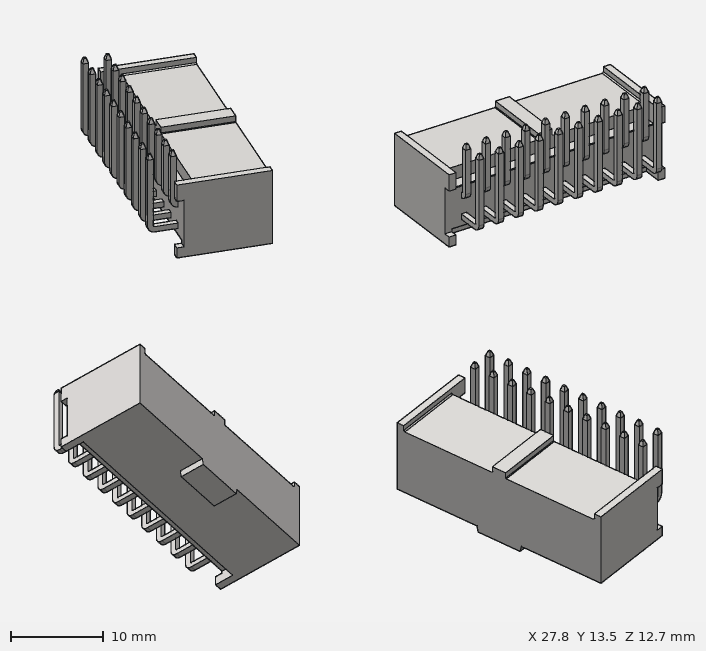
import cadquery as cq

length = 27.75
wall = 0.9
wall_depth = 10.85
wall_top = 8.95
body_depth = 10.01
body_top = 8.18
shelf_start = 8.5
block_bottom = 1.53
block_top = 6.6
block_chamfer = 0.08
foot_top = 1.25
notch_top = 6.94
seam_width = 0.17
seam_height = 0.15
inner_length = length - 2 * wall

rib_width = 1.8
rib_bevel = 0.08
key_depth = 3.02
key_height = 0.75
key_top_width = 6.05
key_bottom_width = 5.71
relief_width = 4.02
relief_size = 0.08

pin_count = 10
row_span = 22.85
pitch = row_span / (pin_count - 1)
pin_size = 0.67
pin_tip_z = 11.9
tip_height = 0.55
tip_size = 0.28
inside_bend = 0.15
outside_bend = inside_bend + pin_size
inner_row = (10.87, 5.08)
outer_row = (13.48, 2.4)
pin_overlap = 0.28


def box(width, y_front, y_back, z_bottom, z_top, x=0):
    """Block centred on x; the depths are measured from the mating face."""
    return (
        cq.Workplane("XY")
        .box(width, y_front - y_back, z_top - z_bottom, centered=(True, False, False))
        .translate((x, -y_front, z_bottom))
    )


def make_body():
    main = box(inner_length, shelf_start, 0, 0, body_top)
    block = box(inner_length, body_depth, 0, block_bottom, block_top)
    block = block.faces("<Y").edges("|X").chamfer(block_chamfer)
    return main.union(block)


def make_end_wall(side):
    x = side * (length - wall) / 2
    plate = box(wall, wall_depth, 0, 0, wall_top, x)
    notch = box(wall, wall_depth, body_depth, foot_top, notch_top, x)
    return plate.cut(notch)


def make_seam(side):
    """Triangular bevel along the inside of an end wall."""
    x = side * inner_length / 2
    return (
        cq.Workplane("XZ")
        .moveTo(x, body_top)
        .lineTo(x - side * seam_width, body_top)
        .lineTo(x, body_top + seam_height)
        .close()
        .extrude(shelf_start)
    )


def make_rib():
    """Rib on the body top, flared by a small bevel at its base."""
    half = rib_width / 2
    flared = half + rib_bevel
    return (
        cq.Workplane("XZ")
        .polyline([
            (-flared, body_top),
            (flared, body_top),
            (half, body_top + rib_bevel),
            (half, wall_top),
            (-half, wall_top),
            (-half, body_top + rib_bevel),
        ])
        .close()
        .extrude(shelf_start)
    )


def make_key():
    """Tapered key below the body, with a shallow relief where its end meets the body."""
    key = (
        cq.Workplane("XZ")
        .polyline([
            (-key_top_width / 2, 0),
            (key_top_width / 2, 0),
            (key_bottom_width / 2, -key_height),
            (-key_bottom_width / 2, -key_height),
        ])
        .close()
        .extrude(key_depth)
    )
    relief = box(relief_width, key_depth, key_depth - relief_size, -relief_size, 0)
    return key.cut(relief)


def make_pin(x, depth, bottom):
    """Square pin leaving the housing, bent upwards and ending in a pointed tip."""
    shank_top = pin_tip_z - tip_height
    upright = box(pin_size, depth, depth - pin_size, bottom, shank_top)
    tail = box(pin_size, depth - pin_size, body_depth - pin_overlap, bottom, bottom + pin_size)
    bent = upright.union(tail).edges("|X and <Y and <Z").fillet(outside_bend)
    inside_corner = (0, pin_size - depth, bottom + pin_size)
    bent = bent.edges(cq.selectors.NearestToPointSelector(inside_corner)).fillet(inside_bend)
    tip = (
        cq.Workplane("XY")
        .workplane(offset=shank_top)
        .center(0, pin_size / 2 - depth)
        .rect(pin_size, pin_size)
        .workplane(offset=tip_height)
        .rect(tip_size, tip_size)
        .loft()
    )
    return bent.union(tip).translate((x, 0, 0))


result = make_body().union(make_rib()).union(make_key())
for side in (-1, 1):
    result = result.union(make_end_wall(side)).union(make_seam(side))
for i in range(pin_count):
    pin_x = i * pitch - row_span / 2
    for row_depth, row_bottom in (inner_row, outer_row):
        result = result.union(make_pin(pin_x, row_depth, row_bottom))